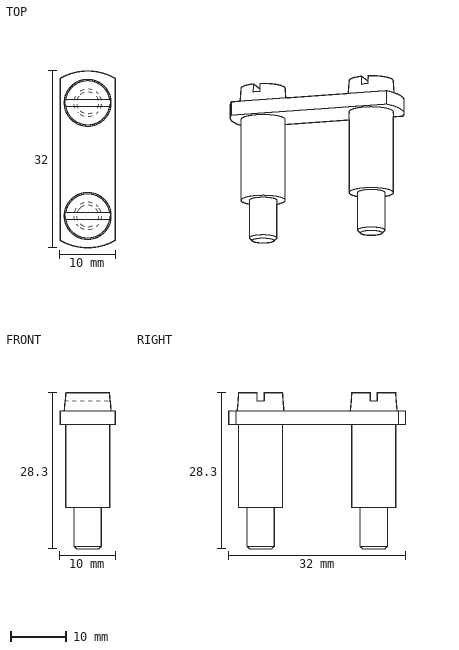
import cadquery as cq
import math

plate_length = 32.0
plate_width = 10.0
plate_thickness = 2.5
end_radius = plate_width

screw_spacing = 20.45
head_base_diameter = 8.5
head_top_diameter = 8.0
head_height = 3.3
slot_width = 1.25
slot_depth = 1.5
sleeve_diameter = 8.0
sleeve_length = 15.0
pin_diameter = 5.0
pin_length = 7.5
tip_chamfer = 0.5


def make_plate():
    """Flat bar with straight sides and arc ends."""
    half_width = plate_width / 2
    half_length = plate_length / 2
    end_rise = end_radius - math.sqrt(end_radius**2 - half_width**2)
    corner_y = half_length - end_rise
    return (
        cq.Workplane("XY")
        .moveTo(-half_width, -corner_y)
        .threePointArc((0, -half_length), (half_width, -corner_y))
        .lineTo(half_width, corner_y)
        .threePointArc((0, half_length), (-half_width, corner_y))
        .close()
        .extrude(-plate_thickness)
    )


def make_head():
    """Tapered screw head with a driver slot along X."""
    head = (
        cq.Workplane("XY")
        .circle(head_base_diameter / 2)
        .workplane(offset=head_height)
        .circle(head_top_diameter / 2)
        .loft(ruled=True)
    )
    slot = (
        cq.Workplane("XY")
        .workplane(offset=head_height - slot_depth)
        .rect(head_base_diameter, slot_width)
        .extrude(slot_depth)
    )
    return head.cut(slot)


def make_leg():
    """Sleeve below the plate with a thinner, chamfered pin."""
    sleeve = (
        cq.Workplane("XY")
        .workplane(offset=-plate_thickness)
        .circle(sleeve_diameter / 2)
        .extrude(-sleeve_length)
    )
    pin = (
        cq.Workplane("XY")
        .workplane(offset=-plate_thickness - sleeve_length)
        .circle(pin_diameter / 2)
        .extrude(-pin_length)
        .faces("<Z")
        .chamfer(tip_chamfer)
    )
    return sleeve.union(pin)


screw = make_head()
leg = make_leg()
result = make_plate()
for screw_y in (-screw_spacing / 2, screw_spacing / 2):
    result = result.union(screw.translate((0, screw_y, 0)))
    result = result.union(leg.translate((0, screw_y, 0)))